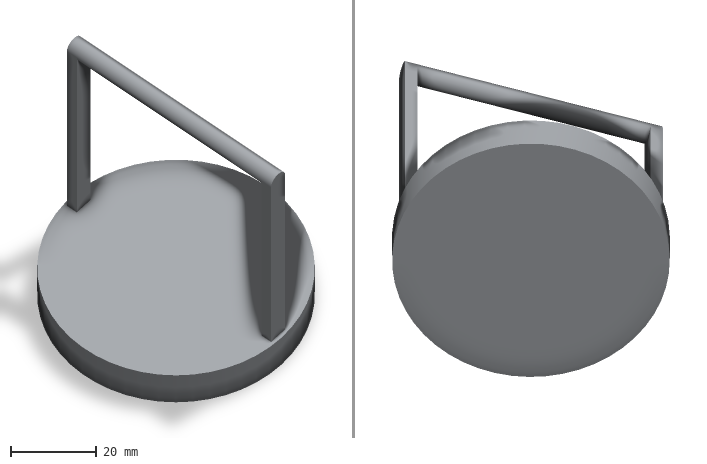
import cadquery as cq

total_height = 70.0
base_diameter = 65.0
base_height = 10.0

handle_span = 63.0
post_thickness = 3.0
grip_diameter = 5.0
post_depth = grip_diameter
grip_axis_height = total_height - grip_diameter / 2
post_offset = (handle_span - post_thickness) / 2


def make_base():
    """Round base disc standing on Z = 0."""
    return cq.Workplane("XY").circle(base_diameter / 2).extrude(base_height)


def make_post(side):
    """Post from the base top to the grip axis; side is -1 or 1 along X."""
    return (
        cq.Workplane("XY", origin=(side * post_offset, 0, base_height))
        .rect(post_thickness, post_depth)
        .extrude(grip_axis_height - base_height)
    )


def make_grip():
    """Round bar running the full span of the handle."""
    return (
        cq.Workplane("YZ", origin=(-handle_span / 2, 0, grip_axis_height))
        .circle(grip_diameter / 2)
        .extrude(handle_span)
    )


result = make_base()
for side in (-1, 1):
    result = result.union(make_post(side))
result = result.union(make_grip())